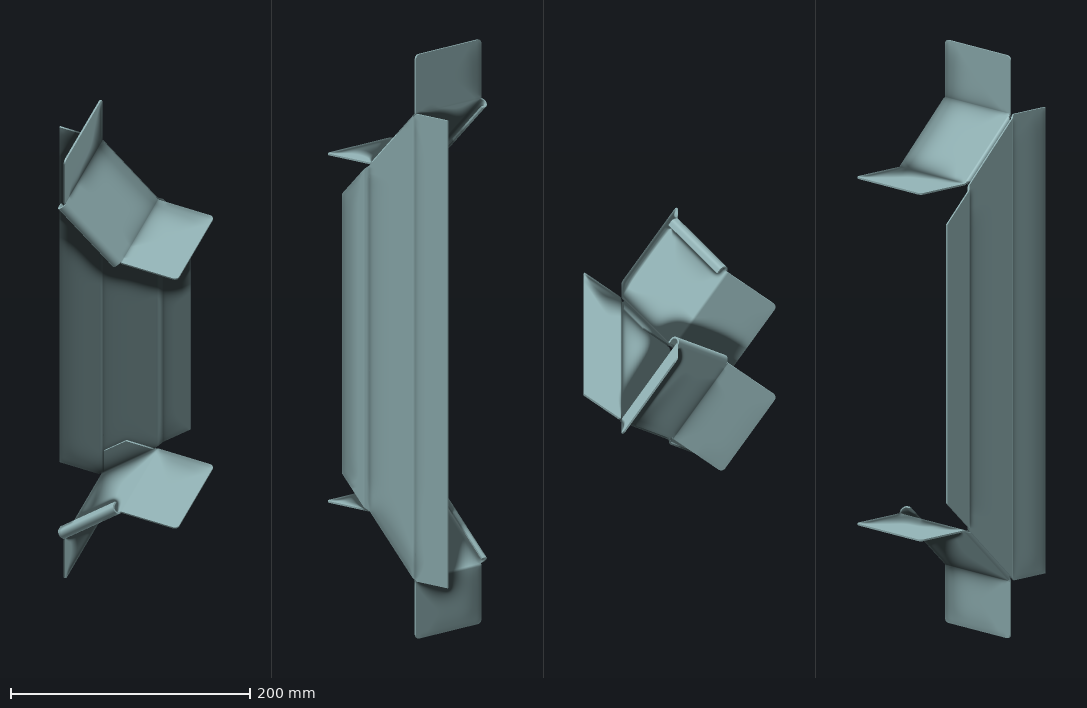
import cadquery as cq
import math

sheet = 1.5
bend_angle = math.radians(45)
bend_radius = 1.5
step_bend_radius = 1.0
overall_height = 502.47
overall_depth = 90.28
overall_width = 140.76

flange_width = 38.3
flange_half_height = 201.0
flange_step = sheet
flange_step_start = -0.8
strip_step = 3.5
strip_step_start = 50.2
strip_end = 78.2
panel_slope_start = -2.5

plate_reach = 51.6
leg_width = 80.0
leg_corner_radius = 4.0
tab_width = 20.0
lip_radius = 5.0
lip_return = 3.3

strip_front = -sheet
web_front = strip_front - strip_step
flange_front = web_front - flange_step
tab_back = web_front
tab_front = tab_back - sheet
leg_back = tab_front
lip_centre_y = lip_radius - overall_depth

bend_outside = bend_radius + sheet
lip_inside = lip_radius - sheet
lip_depth = 2 * lip_radius
half_sheet = sheet / 2
leg_tip_x = overall_width - flange_width
leg_tip_z = overall_height / 2
upper_corner_z = flange_half_height
lower_corner_z = upper_corner_z - plate_reach
plate_length = plate_reach * math.sqrt(2)
miter = half_sheet * math.tan(bend_angle / 2)
bend_setback = bend_outside * math.tan(bend_angle / 2)
tab_gap = flange_step_start + flange_step + sheet


def round_edge(body, direction, point, radius):
    """Round the edge along `direction` whose middle is nearest to `point`."""
    return body.edges(direction).edges(cq.NearestToPointSelector(point)).fillet(radius)


def make_panel():
    """Stepped sheet whose ends slope at 45 degrees, in line with the bracket plates."""
    front_corners = [
        (flange_step_start, flange_front),
        (flange_step_start + flange_step, web_front),
        (strip_step_start, web_front),
        (strip_step_start + strip_step, strip_front),
    ]
    front_line = [(-flange_width, flange_front), *front_corners, (strip_end, strip_front)]
    back_corners = [(x - 2 * miter, y + sheet) for x, y in front_corners]
    back_line = [(-flange_width, flange_front + sheet), *back_corners, (strip_end, strip_front + sheet)]
    stepped_sheet = (
        cq.Workplane("XY")
        .polyline(front_line + back_line[::-1])
        .close()
        .extrude(flange_half_height, both=True)
    )
    step_bend_outside = step_bend_radius + sheet
    front_radii = [step_bend_outside, step_bend_radius] * 2
    back_radii = front_radii[::-1]
    for (x, y), radius in zip(front_corners + back_corners, front_radii + back_radii):
        stepped_sheet = round_edge(stepped_sheet, "|Z", (x, y, 0), radius)
    strip_half_height = flange_half_height - (strip_end - panel_slope_start)
    outline = (
        cq.Workplane("XZ")
        .polyline([
            (-flange_width, -flange_half_height),
            (panel_slope_start, -flange_half_height),
            (strip_end, -strip_half_height),
            (strip_end, strip_half_height),
            (panel_slope_start, flange_half_height),
            (-flange_width, flange_half_height),
        ])
        .close()
        .extrude(overall_depth, both=True)
    )
    return stepped_sheet.intersect(outline)


def plate_plane(start):
    """Plane square to the upper plate: x runs inward from its outer face, y is Y.

    `start` is the distance along the plate from the upper corner.
    """
    along = start / math.sqrt(2)
    to_face = half_sheet / math.sqrt(2)
    origin = (along + to_face, 0, upper_corner_z - along + to_face)
    return cq.Workplane(cq.Plane(origin=origin, xDir=(-1, 0, -1), normal=(1, 0, -1)))


def make_legs():
    """Both legs with the bends that turn them into the plate; the plate itself is left open."""
    outer_line = [
        (half_sheet, leg_tip_z),
        (half_sheet, upper_corner_z + miter),
        (plate_reach + miter, lower_corner_z + half_sheet),
        (leg_tip_x, lower_corner_z + half_sheet),
    ]
    inner_line = [
        (leg_tip_x, lower_corner_z - half_sheet),
        (plate_reach - miter, lower_corner_z - half_sheet),
        (-half_sheet, upper_corner_z - miter),
        (-half_sheet, leg_tip_z),
    ]
    folded = (
        cq.Workplane("XZ", origin=(0, leg_back, 0))
        .polyline(outer_line + inner_line)
        .close()
        .extrude(leg_width)
    )
    for (x, z), radius in (
        (outer_line[1], bend_radius),
        (outer_line[2], bend_radius),
        (inner_line[1], bend_outside),
        (inner_line[2], bend_outside),
    ):
        folded = round_edge(folded, "|Y", (x, leg_back - leg_width / 2, z), radius)
    folded = folded.faces(">Z").edges("|X").fillet(leg_corner_radius)
    folded = folded.faces(">X").edges("|Z").fillet(leg_corner_radius)
    opening = (
        plate_plane(bend_setback)
        .rect(4 * sheet, 2 * overall_depth + leg_width)
        .extrude(plate_length - 2 * bend_setback)
    )
    return folded.cut(opening)


def make_plate():
    """Plate between the bends, with the tab at its back edge and the curled lip at its front edge."""
    lip_end_y = lip_centre_y + lip_return
    tab_bend_y = tab_back - bend_outside
    bend_middle = math.sqrt(0.5)
    section = (
        plate_plane(bend_setback)
        .moveTo(tab_width, tab_back)
        .lineTo(bend_outside, tab_back)
        .threePointArc(
            (bend_outside * (1 - bend_middle), tab_bend_y + bend_outside * bend_middle),
            (0, tab_bend_y),
        )
        .lineTo(0, lip_centre_y)
        .threePointArc((lip_radius, lip_centre_y - lip_radius), (lip_depth, lip_centre_y))
        .lineTo(lip_depth, lip_end_y)
        .lineTo(lip_depth - sheet, lip_end_y)
        .lineTo(lip_depth - sheet, lip_centre_y)
        .threePointArc((lip_radius, lip_centre_y - lip_inside), (sheet, lip_centre_y))
        .lineTo(sheet, tab_bend_y)
        .threePointArc(
            (bend_outside - bend_radius * bend_middle, tab_bend_y + bend_radius * bend_middle),
            (bend_outside, tab_front),
        )
        .lineTo(tab_width, tab_front)
        .close()
        .extrude(plate_length - 2 * bend_setback)
    )
    tab_depth = tab_back - tab_front
    beside_step = (
        cq.Workplane("XY")
        .box(leg_tip_x, tab_depth, overall_height, centered=(False, False, True))
        .translate((tab_gap - leg_tip_x, tab_front, 0))
    )
    under_leg = (
        cq.Workplane("XY")
        .box(2 * leg_tip_x, tab_depth, lower_corner_z + tab_gap, centered=(True, False, False))
        .translate((0, tab_front, 0))
    )
    return section.cut(beside_step).cut(under_leg)


def make_bracket(at_top):
    """Legs and plate joined; the bottom bracket is the mirror image of the top one."""
    bracket = make_legs().union(make_plate())
    if at_top:
        return bracket
    return bracket.mirror("XY")


panel = make_panel()
brackets = [make_bracket(at_top) for at_top in (True, False)]

result = cq.Compound.makeCompound(
    [panel.solids().val()] + [bracket.solids().val() for bracket in brackets]
)